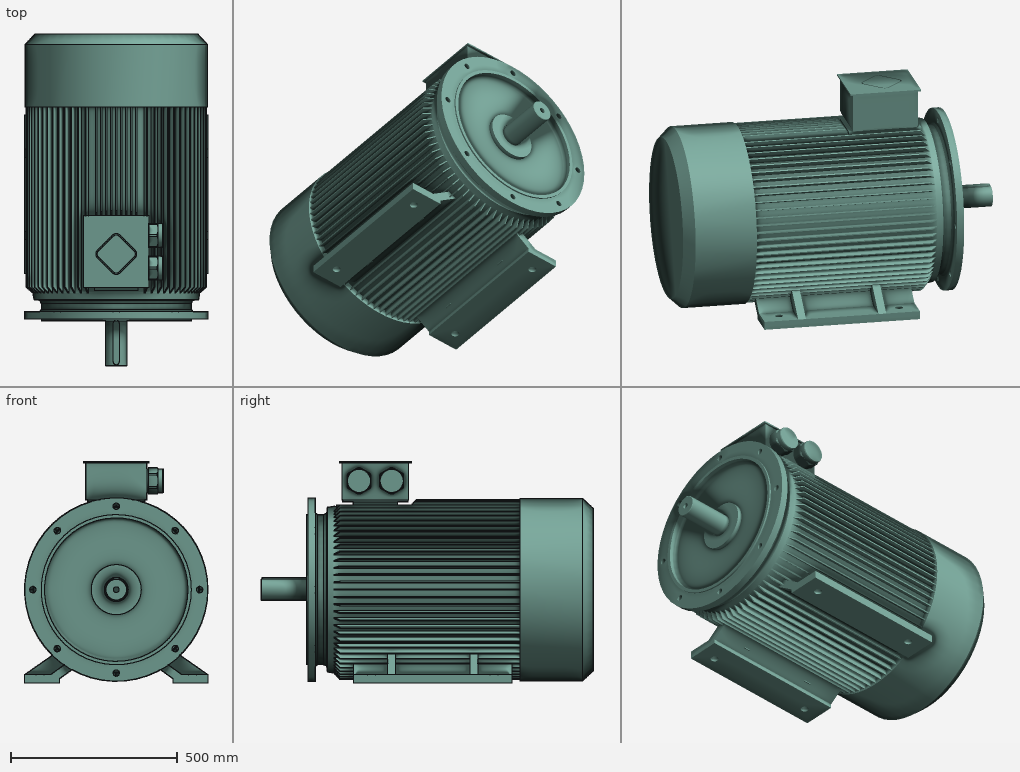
import cadquery as cq
import math


frame_radius = 250
fin_tip_radius = 270
fin_thickness = 3.5
fin_pitch_angle = 5
top_gap_half_angle = 20
fins_front_y = 78
fin_end_chamfer_length = 18

top_fin_count = 9
top_fin_pitch = 15
top_fin_root_z = 235
top_fin_front_y = 312
top_fin_chamfer = 14

cover_radius = 547 / 2
cover_front_y = 635
cover_rear_y = 855
cover_chamfer_axial = 32
cover_chamfer_radial = 30

flange_radius = 550 / 2
flange_thickness = 22
spigot_radius = 450 / 2
spigot_height = 5
dish_radius = 430 / 2
dish_floor_fillet = 9
dish_depth = 24
hub_radius = 150 / 2
hub_height = 14
seal_radius = 72 / 2
seal_depth = 2
neck_radius = 225
neck_groove_front_y = 29
neck_groove_rear_y = 46
neck_shoulder_radius = 229
neck_shoulder_y = 56
neck_foot_radius = 231
collar_front_y = 58
collar_front_radius = 247
bolt_circle_radius = 500 / 2
bolt_hole_diameter = 19
bolt_count = 8

shaft_diameter = 65
shaft_length = 140
shaft_chamfer = 1.5
center_bore_diameter = 17.29
center_bore_depth = 42
key_width = 18
key_length = 134
key_top_z = 36.5
key_end_gap = 3

shaft_height = 280
foot_outer_x = 275
foot_inner_x = 170
foot_thickness = 25
foot_front_y = 136
foot_hole_diameter = 24
foot_hole_x = 457 / 2
foot_hole_first_y = 190
foot_hole_spacing = 368
foot_length = foot_hole_spacing + 2 * (foot_hole_first_y - foot_front_y)
foot_middle_y = foot_front_y + foot_length / 2
web_outer_x = 197
web_inner_rise = 13
web_slope = 0.72
web_run = 60
rib_thickness = 24
rib_spacing = 246
rib_slope = 0.7
rib_run = 125

box_middle_y = 202
box_width = 184
box_length = 200
box_bottom_z = 269
box_top_z = 379
lid_width = 195
lid_length = 216
lid_thickness = 5
gasket_width = 172
gasket_length = 196
gasket_thickness = 6
pedestal_width = 131
pedestal_length = 133
pad_bottom_z = 200
pad_top_z = 254
pad_front_y = 86
pad_rear_y = 308
badge_middle_y = 195
badge_side = 96
badge_corner_radius = 16
badge_border = 4
badge_depth = 3

gland_z = 326
gland_spacing = 98
gland_hex_across_flats = 72
gland_hex_corner_diameter = 80
gland_hex_start_x = 96
gland_hex_end_x = 125
gland_hex_chamfer = 3
gland_nut_diameter = 72
gland_nut_end_diameter = 69.61
gland_nut_taper_length = 3
gland_end_x = 142


def box_between(x0, x1, y0, y1, z0, z1):
    """Axis-aligned block between two corners."""
    return cq.Workplane("XY").box(x1 - x0, y1 - y0, z1 - z0, centered=False).translate((x0, y0, z0))


def centered_block(width, length, middle_y, z0, z1):
    """Block centred on x = 0 and on middle_y."""
    return box_between(-width / 2, width / 2, middle_y - length / 2, middle_y + length / 2, z0, z1)


def turned(points):
    """Solid of revolution about the shaft axis from (radius, y) points."""
    return cq.Workplane("XY").polyline(points).close().revolve(360, (0, 0, 0), (0, 1, 0))


def along_y(sketch_points, y0, length):
    """Prism along +Y from (x, z) points."""
    plane = cq.Plane(origin=(0, y0, 0), xDir=(1, 0, 0), normal=(0, -1, 0))
    return cq.Workplane(plane).polyline(sketch_points).close().extrude(-length)


def finned_frame():
    """Cylindrical frame with radial fins, whose front ends are chamfered."""
    half_angle_root = math.asin(fin_thickness / 2 / frame_radius)
    half_angle_tip = math.asin(fin_thickness / 2 / fin_tip_radius)

    def polar(radius, angle):
        return (radius * math.sin(angle), radius * math.cos(angle))

    fin_angles = [
        math.radians(a)
        for a in range(top_gap_half_angle, 360 - top_gap_half_angle + 1, fin_pitch_angle)
    ]
    plane = cq.Plane(origin=(0, fins_front_y, 0), xDir=(1, 0, 0), normal=(0, -1, 0))
    last_root_angle = fin_angles[-1] + half_angle_root - 2 * math.pi
    outline = cq.Workplane(plane).moveTo(*polar(frame_radius, last_root_angle))
    for angle in fin_angles:
        root_angle = angle - half_angle_root
        outline = outline.threePointArc(
            polar(frame_radius, (last_root_angle + root_angle) / 2),
            polar(frame_radius, root_angle),
        )
        outline = outline.lineTo(*polar(fin_tip_radius, angle - half_angle_tip))
        outline = outline.lineTo(*polar(fin_tip_radius, angle + half_angle_tip))
        last_root_angle = angle + half_angle_root
        outline = outline.lineTo(*polar(frame_radius, last_root_angle))
    frame = outline.close().extrude(fins_front_y - cover_front_y)

    envelope = turned([
        (0, fins_front_y),
        (frame_radius, fins_front_y),
        (fin_tip_radius, fins_front_y + fin_end_chamfer_length),
        (fin_tip_radius, cover_front_y),
        (0, cover_front_y),
    ])
    return frame.intersect(envelope)


def top_fins():
    """Straight upright fins between the terminal box and the fan cover."""
    side = [
        (top_fin_front_y, top_fin_root_z),
        (top_fin_front_y, fin_tip_radius - top_fin_chamfer),
        (top_fin_front_y + top_fin_chamfer, fin_tip_radius),
        (cover_front_y, fin_tip_radius),
        (cover_front_y, top_fin_root_z),
    ]
    fin = cq.Workplane("YZ").polyline(side).close().extrude(fin_thickness / 2, both=True)
    envelope = turned([
        (0, top_fin_front_y),
        (fin_tip_radius, top_fin_front_y),
        (fin_tip_radius, cover_front_y),
        (0, cover_front_y),
    ])
    first_x = -top_fin_pitch * (top_fin_count - 1) / 2
    fins = cq.Workplane("XY")
    for index in range(top_fin_count):
        fins = fins.add(fin.translate((first_x + index * top_fin_pitch, 0, 0)).intersect(envelope))
    return fins.combine()


def fan_cover():
    """Cylindrical fan cover with a chamfered rear edge."""
    return turned([
        (0, cover_front_y),
        (cover_radius, cover_front_y),
        (cover_radius, cover_rear_y - cover_chamfer_axial),
        (cover_radius - cover_chamfer_radial, cover_rear_y),
        (0, cover_rear_y),
    ])


def end_shield():
    """Tapered collar, grooved neck, flange, spigot and dished front face."""
    shield = turned([
        (0, fins_front_y),
        (frame_radius, fins_front_y),
        (collar_front_radius, collar_front_y),
        (neck_shoulder_radius, neck_shoulder_y),
        (neck_radius, neck_groove_rear_y),
        (neck_radius, neck_groove_front_y),
        (neck_foot_radius, flange_thickness),
        (flange_radius, flange_thickness),
        (flange_radius, 0),
        (spigot_radius, 0),
        (spigot_radius, -spigot_height),
        (0, -spigot_height),
    ])
    dish = (
        cq.Workplane("XZ", origin=(0, -spigot_height, 0))
        .circle(dish_radius)
        .extrude(-dish_depth)
        .faces(">Y")
        .edges()
        .fillet(dish_floor_fillet)
    )
    hub = (
        cq.Workplane("XZ", origin=(0, dish_depth - spigot_height, 0))
        .circle(hub_radius)
        .extrude(hub_height)
        .faces("<Y")
        .workplane()
        .circle(seal_radius)
        .cutBlind(-seal_depth)
    )
    holes = (
        cq.Workplane("XZ")
        .polarArray(bolt_circle_radius, 0, 360, bolt_count)
        .circle(bolt_hole_diameter / 2)
        .extrude(-flange_thickness)
    )
    return shield.cut(dish).union(hub).cut(holes)


def shaft():
    """Shaft end with a round-ended key and a centre bore."""
    body = (
        cq.Workplane("XZ", origin=(0, fins_front_y, 0))
        .circle(shaft_diameter / 2)
        .extrude(fins_front_y + shaft_length)
        .faces("<Y")
        .chamfer(shaft_chamfer)
    )
    key_middle_y = -shaft_length + key_end_gap + key_length / 2
    key = (
        cq.Workplane("XY", origin=(0, key_middle_y, 0))
        .slot2D(key_length, key_width, 90)
        .extrude(key_top_z)
    )
    bore = (
        cq.Workplane("XZ", origin=(0, -shaft_length, 0))
        .circle(center_bore_diameter / 2)
        .extrude(-center_bore_depth)
    )
    return body.union(key).cut(bore)


def foot():
    """Right-hand foot: drilled sole, sloping web and two triangular ribs."""
    sole_bottom_z = -shaft_height
    sole_top_z = sole_bottom_z + foot_thickness
    web_profile = [
        (foot_outer_x, sole_bottom_z),
        (foot_outer_x, sole_top_z),
        (web_outer_x, sole_top_z),
        (web_outer_x - web_run, sole_top_z + web_run * web_slope),
        (foot_inner_x - web_run, sole_bottom_z + web_inner_rise + web_run * web_slope),
        (foot_inner_x, sole_bottom_z + web_inner_rise),
        (foot_inner_x, sole_bottom_z),
    ]
    body = along_y(web_profile, foot_front_y, foot_length)
    rib_profile = [
        (foot_outer_x, sole_top_z),
        (foot_outer_x - rib_run, sole_top_z + rib_run * rib_slope),
        (foot_outer_x - rib_run, sole_top_z),
    ]
    for side in (-1, 1):
        rib_middle_y = foot_middle_y + side * rib_spacing / 2
        body = body.union(along_y(rib_profile, rib_middle_y - rib_thickness / 2, rib_thickness))
    holes = (
        cq.Workplane("XY", origin=(0, 0, sole_bottom_z))
        .pushPoints([(foot_hole_x, foot_hole_first_y + i * foot_hole_spacing) for i in range(2)])
        .circle(foot_hole_diameter / 2)
        .extrude(foot_thickness)
    )
    return body.cut(holes)


def terminal_box():
    """Terminal box on its pad, with a gasket, a lid and a recessed badge frame."""
    pad_half_width = pedestal_width / 2
    pad = box_between(-pad_half_width, pad_half_width, pad_front_y, pad_rear_y, pad_bottom_z, pad_top_z)
    gasket_bottom_z = box_bottom_z - gasket_thickness
    pedestal = centered_block(pedestal_width, pedestal_length, box_middle_y, pad_top_z, gasket_bottom_z)
    gasket = centered_block(gasket_width, gasket_length, box_middle_y, gasket_bottom_z, box_bottom_z)
    case = centered_block(box_width, box_length, box_middle_y, box_bottom_z, box_top_z)
    lid_top_z = box_top_z + lid_thickness
    lid = centered_block(lid_width, lid_length, box_middle_y, box_top_z, lid_top_z)

    def badge(side, depth, corner_radius):
        square = cq.Workplane("XY").rect(side, side).extrude(-depth).edges("|Z").fillet(corner_radius)
        return square.rotate((0, 0, 0), (0, 0, 1), 45).translate((0, badge_middle_y, lid_top_z))

    frame = badge(badge_side, badge_depth, badge_corner_radius)
    inner_side = badge_side - 2 * badge_border
    panel = badge(inner_side, badge_depth, badge_corner_radius - badge_border)
    lid = lid.cut(frame.cut(panel))
    return pad.union(pedestal).union(gasket).union(case).union(lid)


def cable_gland(y):
    """Hexagonal gland body and round cap nut on the +X side of the box."""
    box_side_x = box_width / 2

    def gland_plane(x):
        return cq.Workplane("YZ", origin=(x, y, gland_z))

    hex_length = gland_hex_end_x - gland_hex_start_x
    hex_corner_circle = gland_hex_across_flats / math.cos(math.pi / 6)
    hexagon = (
        gland_plane(gland_hex_start_x)
        .transformed(rotate=(0, 0, 90))
        .polygon(6, hex_corner_circle)
        .extrude(hex_length)
    )
    corner_trim = (
        gland_plane(gland_hex_start_x)
        .circle(gland_hex_corner_diameter / 2)
        .extrude(hex_length)
        .faces(">X")
        .chamfer(gland_hex_chamfer)
    )
    hexagon = hexagon.intersect(corner_trim)
    nut_taper = (gland_nut_diameter - gland_nut_end_diameter) / 2
    nut = (
        gland_plane(box_side_x)
        .circle(gland_nut_diameter / 2)
        .extrude(gland_end_x - box_side_x)
        .faces(">X")
        .chamfer(gland_nut_taper_length, nut_taper)
    )
    return hexagon.union(nut)


result = finned_frame().union(top_fins()).union(fan_cover()).union(end_shield()).union(shaft())
right_foot = foot()
result = result.union(right_foot).union(right_foot.mirror("YZ"))
result = result.union(terminal_box())
for gland_side in (-1, 1):
    result = result.union(cable_gland(box_middle_y + gland_side * gland_spacing / 2))